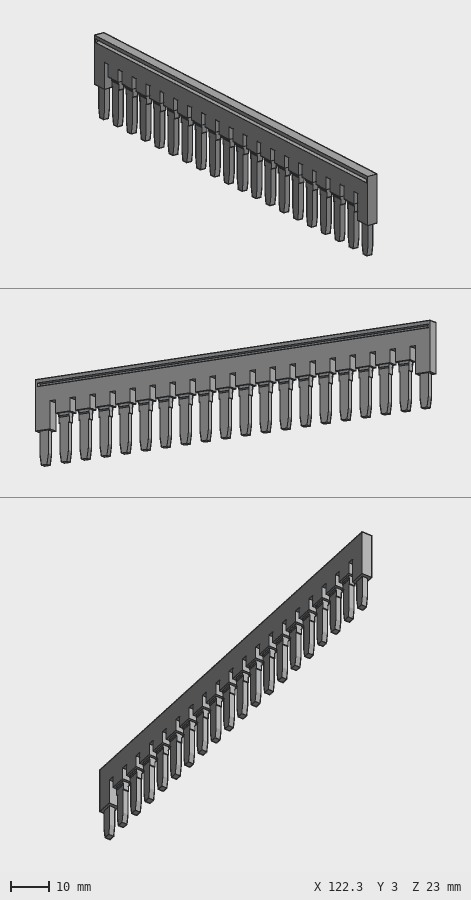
import cadquery as cq
import math

length = 122.3
thickness = 3.0
height = 23.0

pin_count = 20
pin_row_span = 117.8
pin_pitch = pin_row_span / (pin_count - 1)

tooth_width = 4.5
notch_top = 16.8
tooth_bottom = 13.2
end_block_bottom = 9.2

pin_width = 2.7
pin_thickness = 1.6
pin_tip_height = 2.9
pin_tip_angle = 9.0
neck_width = 3.2
neck_bottom = 10.5
collar_thickness = 2.0
collar_bottom = 12.5
collar_bevel_bottom = 12.1

groove_end_wall = 0.6
groove_depth = 1.5
groove_top = 22.0
groove_floor_bottom = 21.5
groove_lip = 21.0


def block(width, depth, bottom, top, x):
    """Box centred on x and on the part's mid plane, between two heights."""
    return (
        cq.Workplane("XY", origin=(x, 0, bottom))
        .box(width, depth, top - bottom, centered=(True, True, False))
    )


def pin(x, root):
    """Flat pin whose two narrow sides taper towards the tip."""
    half_width = pin_width / 2
    half_tip = half_width - pin_tip_height * math.tan(math.radians(pin_tip_angle))
    return (
        cq.Workplane("XZ", origin=(x, 0, 0))
        .polyline([
            (-half_width, root),
            (-half_width, pin_tip_height),
            (-half_tip, 0),
            (half_tip, 0),
            (half_width, pin_tip_height),
            (half_width, root),
        ])
        .close()
        .extrude(pin_thickness / 2, both=True)
    )


def collar(x):
    """Thicker top of a pin neck, bevelled down to the pin thickness."""
    outer = collar_thickness / 2
    inner = pin_thickness / 2
    return (
        cq.Workplane("YZ", origin=(x, 0, 0))
        .polyline([
            (-outer, tooth_bottom),
            (-outer, collar_bottom),
            (-inner, collar_bevel_bottom),
            (inner, collar_bevel_bottom),
            (outer, collar_bottom),
            (outer, tooth_bottom),
        ])
        .close()
        .extrude(neck_width / 2, both=True)
    )


def groove():
    """Undercut groove with a flat ceiling and a floor sloping out to the front face."""
    front = -thickness / 2
    floor = front + groove_depth
    return (
        cq.Workplane("YZ")
        .polyline([
            (front, groove_top),
            (floor, groove_top),
            (floor, groove_floor_bottom),
            (front, groove_lip),
        ])
        .close()
        .extrude(length / 2 - groove_end_wall, both=True)
    )


result = block(length, thickness, notch_top, height, 0)

end_block_x = (length - tooth_width) / 2
for side in (-1, 1):
    result = result.union(block(tooth_width, thickness, end_block_bottom, notch_top, side * end_block_x))
    result = result.union(pin(side * pin_row_span / 2, end_block_bottom))

for index in range(1, pin_count - 1):
    x = -pin_row_span / 2 + index * pin_pitch
    result = result.union(block(tooth_width, thickness, tooth_bottom, notch_top, x))
    result = result.union(collar(x))
    result = result.union(block(neck_width, pin_thickness, neck_bottom, tooth_bottom, x))
    result = result.union(pin(x, tooth_bottom))

result = result.cut(groove()).translate((0, 0, -height / 2))